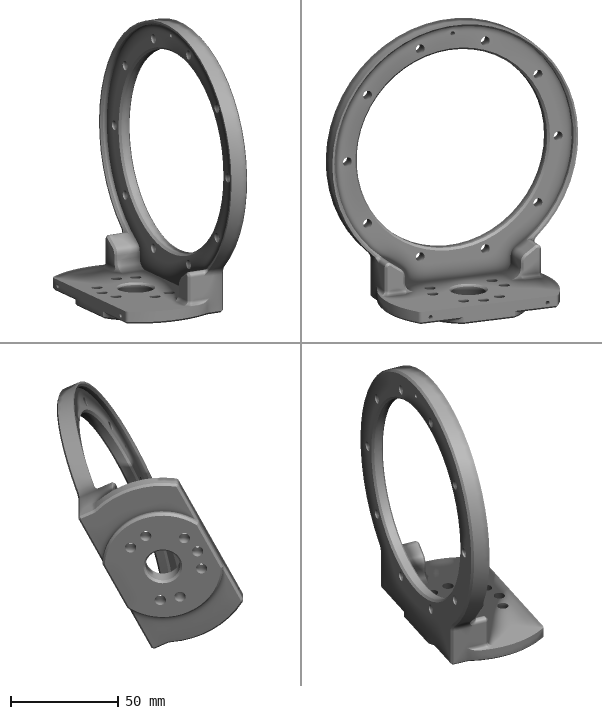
import cadquery as cq
import math

overall_width = 124.0
overall_height = 133.5
edge_chamfer = 1.0
blend_radius = 5.0
small_blend_radius = 2.0

ring_radius = overall_width / 2
ring_center_z = overall_height - ring_radius
bore_radius = 48.0
ring_thickness = 9.0
recess_radius = 60.1
recess_depth = 3.1
bolt_circle_radius = 53.1
bolt_count = 10
bolt_hole_diameter = 4.4
pin_hole_radius = 56.2
pin_hole_diameter = 2.1

base_depth = 49.7
base_radius = 42.6
boss_height = 2.5
boss_radius = 28.0
plate_thickness = 6.0
front_corner_radius = 2.0
center_hole_radius = 8.0
base_hole_circle_radius = 18.0
base_hole_diameter = 5.2
base_hole_angles = (0, 30, 150, 180, 240, 270, 300)
front_hole_diameter = 2.0
front_hole_spacing = 59.0
front_hole_depth = 5.0
drill_point_angle = 118

block_half_span = 39.4
block_gap_half_width = 29.2
block_depth = 19.0

rear_y = base_depth / 2
ring_front_y = rear_y - ring_thickness
recess_floor_y = ring_front_y + recess_depth
bore_middle_y = (recess_floor_y + rear_y) / 2
block_front_y = rear_y - block_depth
plate_top_z = boss_height + plate_thickness
plate_middle_z = boss_height + plate_thickness / 2


def upright(rear):
    """Sketch plane parallel to XZ at Y = rear, extruding toward -Y."""
    return cq.Workplane("XZ", origin=(0, rear, 0))


def disc(radius, rear, length):
    """Disc coaxial with the ring, reaching from Y = rear toward -Y."""
    return upright(rear).center(0, ring_center_z).circle(radius).extrude(length)


def wall(half_width, bottom_z, rear, length):
    """Upright wall centred on X = 0, from bottom_z up to the height of the ring centre."""
    height = ring_center_z - bottom_z
    middle_z = bottom_z + height / 2
    return upright(rear).center(0, middle_z).rect(2 * half_width, height).extrude(length)


def circle_bottom_z(half_width, radius):
    """Height at which the lower part of a ring circle crosses X = half_width."""
    return ring_center_z - math.sqrt(radius**2 - half_width**2)


def box_pair(low, high):
    """Selector for edges centred in a box, or in its mirror image across X = 0."""
    margin = 0.07
    x0, y0, z0 = (value - margin for value in low)
    x1, y1, z1 = (value + margin for value in high)
    right = cq.selectors.BoxSelector((x0, y0, z0), (x1, y1, z1))
    left = cq.selectors.BoxSelector((-x1, y0, z0), (-x0, y1, z1))
    return right + left


def edges_at(x, z):
    """Selector for the Y-parallel edges passing through (+-x, z)."""
    return box_pair((x, -base_depth, z), (x, base_depth, z))


def bevel_cut(radius, mouth_y):
    """Cone that bevels a round opening of the given radius whose mouth faces -Y at mouth_y."""
    mouth = upright(mouth_y).center(0, ring_center_z).circle(radius + edge_chamfer)
    return mouth.extrude(-edge_chamfer, taper=45)


def polar_points(radius, angles):
    """Points at the given angles, in degrees, on a circle about the sketch origin."""
    return [
        (radius * math.cos(math.radians(angle)), radius * math.sin(math.radians(angle)))
        for angle in angles
    ]


def make_ring_stock(rear, length):
    body = disc(ring_radius, rear, length)
    body = body.union(wall(block_half_span, plate_middle_z, rear, length))
    junction = edges_at(block_half_span, circle_bottom_z(block_half_span, ring_radius))
    return body.edges(junction).fillet(blend_radius)


def make_ring(recess):
    body = make_ring_stock(rear_y, ring_thickness)
    body = body.faces(">Y").chamfer(edge_chamfer)
    body = body.cut(recess)
    return body.cut(bevel_cut(recess_radius, ring_front_y))


def make_recess():
    length = recess_floor_y + base_depth
    body = disc(recess_radius, recess_floor_y, length)
    body = body.union(wall(block_gap_half_width, plate_top_z, recess_floor_y, length))
    shoulder = edges_at(block_gap_half_width, circle_bottom_z(block_gap_half_width, recess_radius))
    foot = edges_at(block_gap_half_width, plate_top_z)
    return body.edges(shoulder + foot).fillet(blend_radius)


def make_blocks(recess):
    body = wall(block_half_span, plate_middle_z, recess_floor_y, recess_floor_y - block_front_y)
    body = body.cut(recess)
    tip = edges_at(block_half_span, circle_bottom_z(block_half_span, recess_radius))
    body = body.edges(tip).fillet(small_blend_radius)
    return body.faces("<Y").chamfer(edge_chamfer)


def make_tip_blends():
    tip_x = block_half_span - small_blend_radius
    tip_z = circle_bottom_z(tip_x, recess_radius + small_blend_radius)
    blend_front_y = ring_front_y - small_blend_radius
    profile = (
        cq.Workplane("XY", origin=(tip_x, 0, tip_z))
        .moveTo(0, ring_front_y)
        .lineTo(2 * small_blend_radius, ring_front_y)
        .radiusArc((small_blend_radius, blend_front_y), -small_blend_radius)
        .lineTo(0, blend_front_y)
        .close()
    )
    collar = profile.revolve(360, (0, 0, 0), (0, 1, 0))
    collar = collar.intersect(make_ring_stock(ring_front_y, small_blend_radius))
    collar = collar.cut(disc(recess_radius + edge_chamfer, ring_front_y, base_depth))
    return collar.union(collar.mirror("YZ"))


def make_base_envelope():
    height = ring_center_z - boss_height
    plan = cq.Workplane("XY", origin=(0, 0, boss_height))
    body = plan.circle(base_radius).extrude(height)
    body = body.intersect(plan.rect(3 * base_radius, base_depth).extrude(height))
    rear_pad = plan.center(0, rear_y / 2).rect(2 * block_half_span, rear_y).extrude(height)
    body = body.union(rear_pad)
    front_corners = box_pair((0, -rear_y, 0), (base_radius, -rear_y, ring_center_z))
    wall_corners = box_pair((0, 0, 0), (base_radius, ring_front_y + edge_chamfer, ring_center_z))
    body = body.edges("|Z").edges(front_corners).fillet(front_corner_radius)
    body = body.edges("|Z").edges(wall_corners).fillet(blend_radius)
    body = body.edges(">Y and |Z").chamfer(edge_chamfer)
    return body.faces("<Z").chamfer(edge_chamfer)


def make_base(recess):
    slab = cq.Workplane("XY", origin=(0, 0, boss_height))
    slab = slab.rect(3 * base_radius, base_depth).extrude(plate_thickness)
    body = slab.union(make_blocks(recess))
    foot = box_pair(
        (block_gap_half_width, block_front_y, plate_top_z),
        (block_half_span, ring_front_y, plate_top_z),
    )
    body = body.edges(foot).fillet(small_blend_radius)
    return body.intersect(make_base_envelope())


def make_boss():
    plan = cq.Workplane("XY")
    body = plan.circle(boss_radius).extrude(plate_middle_z)
    body = body.intersect(plan.rect(3 * boss_radius, base_depth).extrude(plate_middle_z))
    return body.faces("<Z").chamfer(edge_chamfer)


def make_ring_bore():
    body = disc(bore_radius, rear_y, base_depth)
    body = body.union(bevel_cut(bore_radius, recess_floor_y))
    return body.union(bevel_cut(bore_radius, recess_floor_y).mirror("XZ", (0, bore_middle_y, 0)))


def make_ring_holes():
    face = upright(rear_y).center(0, ring_center_z)
    bolt_angles = [index * 360 / bolt_count for index in range(bolt_count)]
    bolt_points = polar_points(bolt_circle_radius, bolt_angles)
    bolts = face.pushPoints(bolt_points).circle(bolt_hole_diameter / 2).extrude(base_depth)
    pin = face.pushPoints([(0, pin_hole_radius)]).circle(pin_hole_diameter / 2).extrude(base_depth)
    return bolts.union(pin)


def make_base_holes():
    body = cq.Workplane("XY").circle(center_hole_radius).extrude(plate_top_z)
    mouth_radius = center_hole_radius + edge_chamfer
    body = body.union(cq.Workplane("XY").circle(mouth_radius).extrude(edge_chamfer, taper=45))
    top = cq.Workplane("XY", origin=(0, 0, plate_top_z))
    body = body.union(top.circle(mouth_radius).extrude(-edge_chamfer, taper=45))
    mounting_points = polar_points(base_hole_circle_radius, base_hole_angles)
    mounting = cq.Workplane("XY").pushPoints(mounting_points)
    return body.union(mounting.circle(base_hole_diameter / 2).extrude(plate_top_z))


def make_front_hole(x):
    radius = front_hole_diameter / 2
    cone_height = radius / math.tan(math.radians(drill_point_angle / 2))
    cone_base_y = front_hole_depth - rear_y
    profile = (
        cq.Workplane("XY", origin=(x, 0, plate_middle_z))
        .moveTo(0, -rear_y)
        .lineTo(radius, -rear_y)
        .lineTo(radius, cone_base_y)
        .lineTo(0, cone_base_y + cone_height)
        .close()
    )
    return profile.revolve(360, (0, 0, 0), (0, 1, 0))


recess = make_recess()
result = make_ring(recess).union(make_base(recess)).union(make_tip_blends()).union(make_boss())
result = result.cut(make_ring_bore())
result = result.cut(make_ring_holes())
result = result.cut(make_base_holes())
for side in (-1, 1):
    result = result.cut(make_front_hole(side * front_hole_spacing / 2))
result = result.solids()